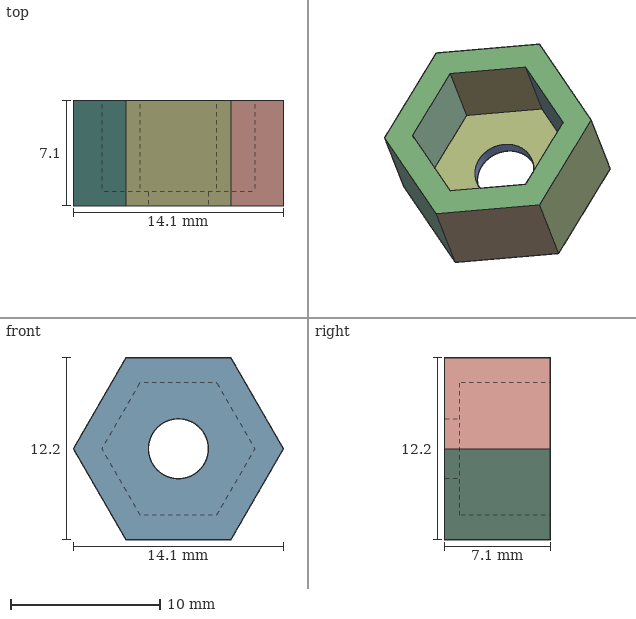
import cadquery as cq

across_corners = 14.1
length = 7.1
hole_diameter = 4.0
front_wall = 1.0
pocket_across_corners = 10.26


def hexagon_prism(corner_diameter, start_y, end_y):
    """Hexagonal prism along Y with two of its corners on the X axis."""
    return (
        cq.Workplane("XZ", origin=(0, start_y, 0))
        .polygon(6, corner_diameter)
        .extrude(start_y - end_y)
    )


body = hexagon_prism(across_corners, 0, length)

nut_pocket = hexagon_prism(pocket_across_corners, front_wall, length)

screw_hole = cq.Workplane("XZ").circle(hole_diameter / 2).extrude(-length)

result = body.cut(nut_pocket).cut(screw_hole)